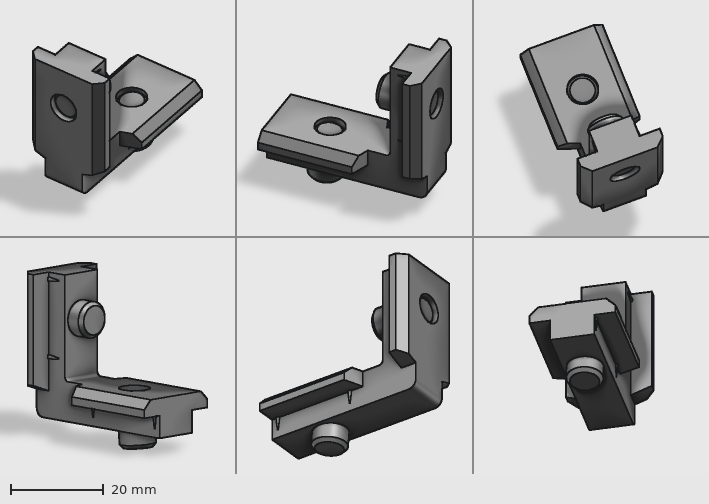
import cadquery as cq

bracket_length = 38.0
bracket_height = 32.0
leg_thickness = 8.78
neck_width = 9.75
inner_fillet = 1.0
outer_fillet = 2.0

flange_width = 19.0
flange_thickness = 3.8
flange_chamfer = 1.98
flange_shoulder = 1.67
upright_flange_length = 25.95
flat_flange_length = 23.98

tooth_length = 3.0
tooth_base_radius = 0.5
tooth_tip_radius = 0.15
tooth_inset = 0.1
tooth_end_distance = 1.52
upright_tooth_spacing = 17.0
flat_tooth_spacing = 19.0

screw_length = 11.95
screw_radius = 4.0
socket_end_chamfer = 1.25
tip_chamfer_length = 0.87
tip_radius = 3.2
screw_recess = 0.9
mouth_radius = 3.4
upright_screw_height = 22.0
flat_screw_distance = 25.25
flat_screw_tilt = 5.0

upright_frame = cq.Location(cq.Plane(origin=(0, 0, 0), xDir=(1, 0, 0), normal=(0, -1, 0)))
flat_frame = cq.Location(cq.Plane(origin=(0, 0, leg_thickness), xDir=(1, 0, 0), normal=(0, 0, 1)))


def make_core():
    """L-shaped core of neck width, rounded at both corners."""
    core = (
        cq.Workplane("YZ")
        .moveTo(0, 0)
        .lineTo(bracket_length, 0)
        .lineTo(bracket_length, leg_thickness)
        .lineTo(leg_thickness, leg_thickness)
        .lineTo(leg_thickness, bracket_height)
        .lineTo(0, bracket_height)
        .close()
        .extrude(neck_width / 2, both=True)
    )
    core = core.edges(cq.NearestToPointSelector((0, 0, 0))).fillet(outer_fillet)
    inner_corner = (0, leg_thickness, leg_thickness)
    return core.edges(cq.NearestToPointSelector(inner_corner)).fillet(inner_fillet)


def make_flange(leg_end, length):
    """Flange in the leg frame, with tapered shoulders and chamfered sides."""
    near_end = leg_end - length
    shoulder_end = near_end + flange_shoulder
    half_width = flange_width / 2
    half_neck = neck_width / 2
    return (
        cq.Workplane("XY")
        .polyline([
            (-half_neck, near_end),
            (half_neck, near_end),
            (half_width, shoulder_end),
            (half_width, leg_end),
            (-half_width, leg_end),
            (-half_width, shoulder_end),
        ])
        .close()
        .extrude(-flange_thickness)
        .edges("|Y and >Z")
        .chamfer(flange_chamfer)
        .val()
    )


def make_teeth(leg_end, spacing):
    """Four tapered teeth in the leg frame, two on each side of the neck."""
    first = leg_end - tooth_end_distance
    axis_offset = neck_width / 2 - tooth_inset
    return [
        cq.Solid.makeCone(
            tooth_base_radius,
            tooth_tip_radius,
            tooth_length,
            cq.Vector(side * axis_offset, along, -flange_thickness),
            cq.Vector(0, 0, -1),
        )
        for side in (-1, 1)
        for along in (first, first - spacing)
    ]


def on_screw_axis(solid, distance, tilt):
    """Move a solid from the Z axis to the screw axis of a leg, tilted about the mouth centre."""
    return solid.rotate(cq.Vector(0, 0, 0), cq.Vector(1, 0, 0), tilt).translate(cq.Vector(0, distance, 0))


def make_screw(distance, tilt):
    """Headless screw in the leg frame: chamfered socket end near the slot face, bevelled tip at the back."""
    top = -screw_recess
    bottom = top - screw_length
    screw = (
        cq.Workplane("XZ")
        .moveTo(0, top)
        .lineTo(screw_radius - socket_end_chamfer, top)
        .lineTo(screw_radius, top - socket_end_chamfer)
        .lineTo(screw_radius, bottom + tip_chamfer_length)
        .lineTo(tip_radius, bottom)
        .lineTo(0, bottom)
        .close()
        .revolve(360, (0, 0, 0), (0, 1, 0))
        .val()
    )
    return on_screw_axis(screw, distance, tilt)


def make_mouth(distance, tilt):
    """Hole from the slot face into the screw bore, in the leg frame, started above the face."""
    depth = screw_recess + socket_end_chamfer
    overrun = screw_recess
    mouth = cq.Solid.makeCylinder(mouth_radius, depth + overrun, cq.Vector(0, 0, -depth))
    return on_screw_axis(mouth, distance, tilt)


upright_screw = make_screw(upright_screw_height, 0).moved(upright_frame)
flat_screw = make_screw(flat_screw_distance, flat_screw_tilt).moved(flat_frame)

bracket = make_core()
bracket = bracket.union(make_flange(bracket_height, upright_flange_length).moved(upright_frame))
bracket = bracket.union(make_flange(bracket_length, flat_flange_length).moved(flat_frame))

for tooth in make_teeth(bracket_height, upright_tooth_spacing):
    bracket = bracket.union(tooth.moved(upright_frame))
for tooth in make_teeth(bracket_length, flat_tooth_spacing):
    bracket = bracket.union(tooth.moved(flat_frame))

bracket = bracket.cut(make_mouth(upright_screw_height, 0).moved(upright_frame))
bracket = bracket.cut(make_mouth(flat_screw_distance, flat_screw_tilt).moved(flat_frame))
for screw in (upright_screw, flat_screw):
    bracket = bracket.cut(screw)

result = cq.Compound.makeCompound([bracket.solids().val(), upright_screw, flat_screw])